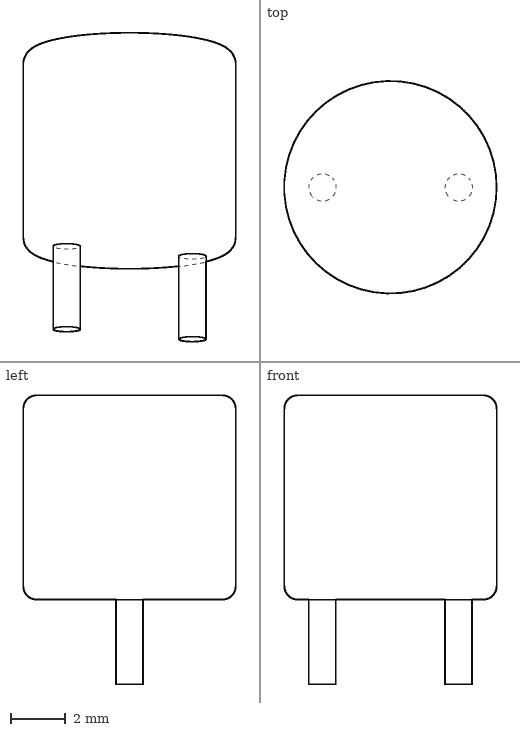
import cadquery as cq

body_diameter = 7.8
body_height = 7.5
edge_radius = 0.5
pin_diameter = 1.0
pin_length = 3.1
pin_spacing = 5.0


def make_body():
    """Cylindrical can resting on Z = 0, with both rims rounded."""
    can = cq.Workplane("XY").circle(body_diameter / 2).extrude(body_height)
    return can.faces("<Z or >Z").edges().fillet(edge_radius)


def make_pins():
    """Two round leads hanging below the can, spaced along X."""
    pin_positions = [(-pin_spacing / 2, 0), (pin_spacing / 2, 0)]
    return (
        cq.Workplane("XY")
        .pushPoints(pin_positions)
        .circle(pin_diameter / 2)
        .extrude(-pin_length)
    )


result = make_body().union(make_pins())